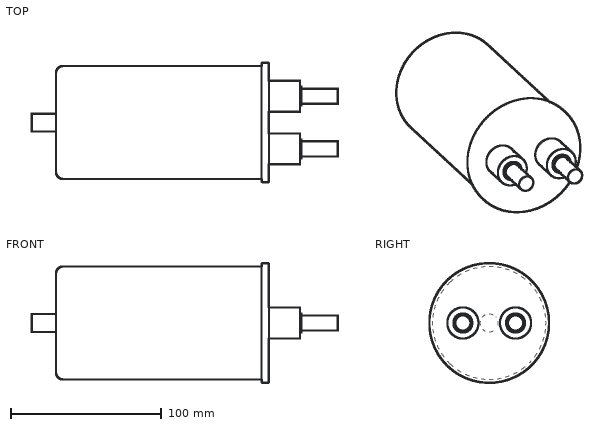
import cadquery as cq

total_length = 204.0

stud_diameter = 12.0
stud_length = 16.1

can_diameter = 75.5
can_edge_radius = 4.9

rim_diameter = 80.0
rim_width = 4.9
rim_edge_radius = 1.2
rim_end = 158.0

terminal_spacing = 35.0
insulator_diameter = 20.8
insulator_length = 20.8
washer_diameter = 12.6
washer_thickness = 0.8
pin_diameter = 10.2


def cylinder_along_x(diameter, start, end, y=0.0):
    """Cylinder parallel to X from start to end, with its axis at the given Y."""
    return cq.Workplane("YZ", origin=(start, y, 0)).circle(diameter / 2).extrude(end - start)


def make_can():
    can = cylinder_along_x(can_diameter, stud_length, rim_end)
    return can.faces("<X").edges().fillet(can_edge_radius)


def make_rim():
    rim = cylinder_along_x(rim_diameter, rim_end - rim_width, rim_end)
    return rim.faces("<X or >X").edges().fillet(rim_edge_radius)


def make_terminal(y):
    insulator_end = rim_end + insulator_length
    washer_end = insulator_end + washer_thickness
    insulator = cylinder_along_x(insulator_diameter, rim_end, insulator_end, y)
    washer = cylinder_along_x(washer_diameter, insulator_end, washer_end, y)
    pin = cylinder_along_x(pin_diameter, washer_end, total_length, y)
    return insulator.union(washer).union(pin)


stud = cylinder_along_x(stud_diameter, 0, stud_length)
result = make_can().union(make_rim()).union(stud)
for side in (-1, 1):
    result = result.union(make_terminal(side * terminal_spacing / 2))